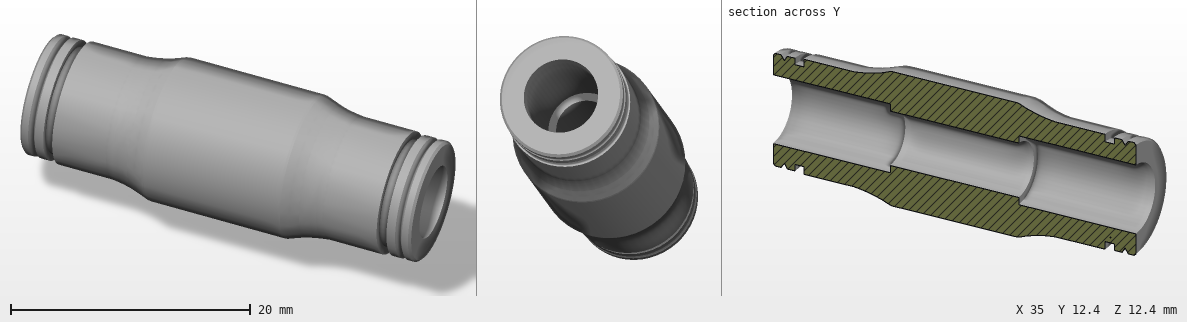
import cadquery as cq

length = 35.05
body_radius = 12.45 / 2
sleeve_radius = 5.33

ring_radius = 5.22
neck_radius = 4.63
groove_root_radius = 4.75
end_chamfer = 0.2
groove_start = 0.77
groove_root = 1.1
groove_end = 1.35
collar_end = 2.15

sleeve_start = 2.98
flare_start = 7.8
flare_arc_start = 8.38
flare_arc_end = 9.8
flare_cone_end = 11.32
body_start = 11.53

flare_arc_start_radius = 5.4
flare_arc_end_radius = 5.68
flare_cone_end_radius = 6.185

bore_radius = 2.5
socket_radius = 3.15
socket_depth = 11.32

half_outline = (
    cq.Workplane("XY")
    .moveTo(0, bore_radius)
    .lineTo(0, ring_radius - end_chamfer)
    .lineTo(end_chamfer, ring_radius)
    .lineTo(groove_start, ring_radius)
    .lineTo(groove_root, groove_root_radius)
    .lineTo(groove_end, ring_radius)
    .lineTo(collar_end, ring_radius)
    .lineTo(collar_end, neck_radius)
    .lineTo(sleeve_start, neck_radius)
    .lineTo(sleeve_start, sleeve_radius)
    .lineTo(flare_start, sleeve_radius)
    .lineTo(flare_arc_start, flare_arc_start_radius)
    .tangentArcPoint((flare_arc_end, flare_arc_end_radius), relative=False)
    .lineTo(flare_cone_end, flare_cone_end_radius)
    .lineTo(body_start, body_radius)
    .lineTo(length / 2, body_radius)
    .lineTo(length / 2, bore_radius)
    .close()
)


def make_half():
    """Revolve one half and cut its tube socket from the end face."""
    half = half_outline.revolve(360, (0, 0, 0), (1, 0, 0))
    socket = cq.Workplane("YZ").circle(socket_radius).extrude(socket_depth)
    return half.cut(socket).translate((-length / 2, 0, 0))


left_half = make_half()
right_half = left_half.rotate((0, 0, 0), (0, 1, 0), 180)
result = left_half.union(right_half).clean()